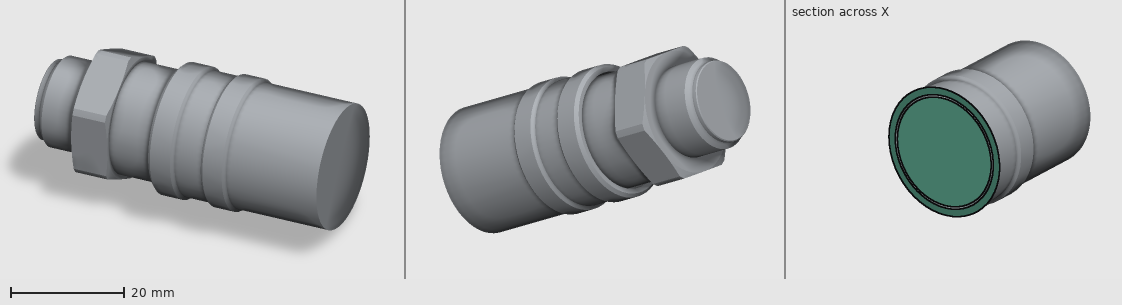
import cadquery as cq
import math

TOTAL_LENGTH = 56.6
TIP_LENGTH = 0.95
HEX_START = 8.9
HEX_END = 15.9
SLEEVE_START = 24.0
FIRST_COLLAR_END = 29.1
SECOND_COLLAR_START = 34.2
SECOND_COLLAR_END = 39.1

TIP_DIAMETER = 14.7
TIP_CHAMFER = 0.15
PLUG_DIAMETER = 16.65
SHANK_DIAMETER = 20.5
HEX_SIDES = 6
HEX_ACROSS_FLATS = 22.1
HEX_CORNER_DIAMETER = 24.8
HEX_CHAMFER_ANGLE = 15.0
HEX_TILT = 2.6

SLEEVE_DIAMETER = 23.0
COLLAR_DIAMETER = 24.15
COLLAR_CHAMFER = (COLLAR_DIAMETER - SLEEVE_DIAMETER) / 2
CLEARANCE_DIAMETER = 21.2
SLEEVE_LENGTH = TOTAL_LENGTH - SLEEVE_START


def revolve_profile(points):
    """Turn a closed outline of (x, radius) points about the X axis."""
    return cq.Workplane("XY").polyline(points).close().revolve(360, (0, 0, 0), (1, 0, 0))


def cylinder(start, length, diameter):
    return cq.Workplane("YZ", origin=(start, 0, 0)).circle(diameter / 2).extrude(length)


def make_hex():
    """Hexagon with rounded corners and a shallow conical chamfer at both ends."""
    length = HEX_END - HEX_START
    sharp_corner_diameter = HEX_ACROSS_FLATS / math.cos(math.pi / HEX_SIDES)
    prism = (
        cq.Workplane("YZ", origin=(HEX_START, 0, 0))
        .transformed(rotate=(0, 0, 90 + HEX_TILT))
        .polygon(HEX_SIDES, sharp_corner_diameter)
        .extrude(length)
    )
    face_radius = HEX_ACROSS_FLATS / 2
    corner_radius = HEX_CORNER_DIAMETER / 2
    chamfer_length = (corner_radius - face_radius) * math.tan(math.radians(HEX_CHAMFER_ANGLE))
    turned_blank = revolve_profile([
        (HEX_START, 0),
        (HEX_START, face_radius),
        (HEX_START + chamfer_length, corner_radius),
        (HEX_END - chamfer_length, corner_radius),
        (HEX_END, face_radius),
        (HEX_END, 0),
    ])
    return prism.intersect(turned_blank)


def make_nipple():
    """Stepped plug and shank carrying the hexagon; the shank runs through the sleeve."""
    tip_radius = TIP_DIAMETER / 2
    plug_radius = PLUG_DIAMETER / 2
    cone_end = TIP_LENGTH + plug_radius - tip_radius
    plug = revolve_profile([
        (0, 0),
        (0, tip_radius - TIP_CHAMFER),
        (TIP_CHAMFER, tip_radius),
        (TIP_LENGTH, tip_radius),
        (cone_end, plug_radius),
        (HEX_START, plug_radius),
        (HEX_START, 0),
    ])
    shank = cylinder(HEX_END, TOTAL_LENGTH - HEX_END, SHANK_DIAMETER)
    return plug.union(make_hex()).union(shank)


def make_collar(start, end):
    """Raised ring with 45 degree chamfers down to the sleeve diameter."""
    return cylinder(start, end - start, COLLAR_DIAMETER).faces("<X or >X").chamfer(COLLAR_CHAMFER)


def make_sleeve():
    """Tube with two raised collars; its bore is loose inside the first collar and fits the shank beyond."""
    sleeve = cylinder(SLEEVE_START, SLEEVE_LENGTH, SLEEVE_DIAMETER)
    sleeve = sleeve.union(make_collar(SLEEVE_START, FIRST_COLLAR_END))
    sleeve = sleeve.union(make_collar(SECOND_COLLAR_START, SECOND_COLLAR_END))
    sleeve = sleeve.cut(cylinder(SLEEVE_START, SLEEVE_LENGTH, SHANK_DIAMETER))
    return sleeve.cut(cylinder(SLEEVE_START, FIRST_COLLAR_END - SLEEVE_START, CLEARANCE_DIAMETER))


nipple = make_nipple()
sleeve = make_sleeve()
result = cq.Compound.makeCompound([nipple.val(), sleeve.val()])